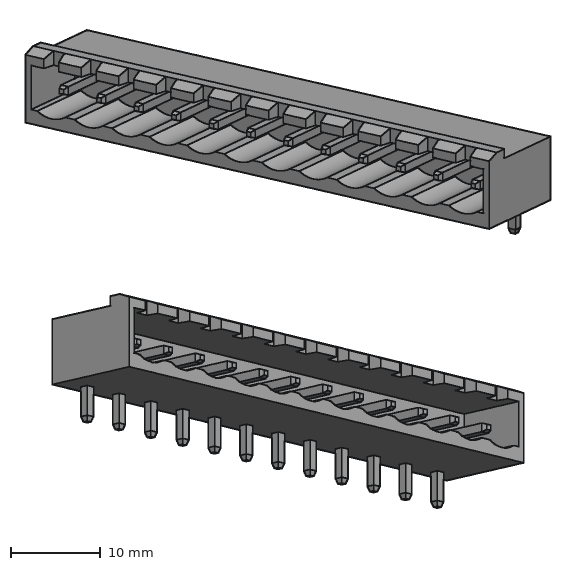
import cadquery as cq

PIN_COUNT = 12
PITCH = 5.08
END_MARGIN = 3.54
LENGTH = (PIN_COUNT - 1) * PITCH + 2 * END_MARGIN
DEPTH = 12.0
BODY_HEIGHT = 7.5

RIDGE_HEIGHT = 8.6
RIDGE_DEPTH = 3.0
BEVEL_DEPTH = 1.5
BEVEL_DROP = 0.6

SIDE_WALL = 0.8
CAVITY_FLOOR = 1.7
CAVITY_ROOF = 6.9
CAVITY_DEPTH = 8.5

TROUGH_WIDTH = 3.8
TROUGH_BOTTOM = 1.15

SLOT_FRONT_WIDTH = 2.0
SLOT_BACK_WIDTH = 1.5

PIN_SIZE = 1.0
PIN_AXIS_Z = 3.8
TAIL_SETBACK = 2.0
PIN_AXIS_Y = DEPTH - TAIL_SETBACK
PIN_FRONT_Y = 2.0
TAIL_LENGTH = 4.0
TIP_LENGTH = 0.6
TIP_SIZE = 0.6

PIN_POSITIONS = [(i - (PIN_COUNT - 1) / 2) * PITCH for i in range(PIN_COUNT)]


def make_housing():
    """Solid housing: the side profile, with its ridge, run along the row."""
    profile = [
        (0, 0),
        (DEPTH, 0),
        (DEPTH, BODY_HEIGHT),
        (RIDGE_DEPTH, BODY_HEIGHT),
        (RIDGE_DEPTH, RIDGE_HEIGHT),
        (BEVEL_DEPTH, RIDGE_HEIGHT),
        (0, RIDGE_HEIGHT - BEVEL_DROP),
    ]
    return cq.Workplane("YZ").polyline(profile).close().extrude(LENGTH / 2, both=True)


def make_cavity():
    """Mating cavity, with one trough per pin along its floor."""
    half_width = LENGTH / 2 - SIDE_WALL
    outline = cq.Workplane("XZ").moveTo(-half_width, CAVITY_ROOF).lineTo(-half_width, CAVITY_FLOOR)
    for x in PIN_POSITIONS:
        outline = outline.lineTo(x - TROUGH_WIDTH / 2, CAVITY_FLOOR)
        outline = outline.threePointArc((x, TROUGH_BOTTOM), (x + TROUGH_WIDTH / 2, CAVITY_FLOOR))
    outline = outline.lineTo(half_width, CAVITY_FLOOR).lineTo(half_width, CAVITY_ROOF).close()
    return outline.extrude(-CAVITY_DEPTH)


def make_slot(x):
    """Keying slot through the roof, wider at the open front."""
    plan = [
        (x - SLOT_FRONT_WIDTH / 2, 0),
        (x + SLOT_FRONT_WIDTH / 2, 0),
        (x + SLOT_BACK_WIDTH / 2, BEVEL_DEPTH),
        (x - SLOT_BACK_WIDTH / 2, BEVEL_DEPTH),
    ]
    slot = cq.Workplane("XY").workplane(offset=PIN_AXIS_Z).polyline(plan).close()
    return slot.extrude(RIDGE_HEIGHT - PIN_AXIS_Z)


def make_leg(plane, length):
    """Square bar from the plane's origin along its normal, with a tapered far tip."""
    shank_length = length - TIP_LENGTH
    shank = cq.Workplane(plane).rect(PIN_SIZE, PIN_SIZE).extrude(shank_length)
    tip = cq.Workplane(plane).workplane(offset=shank_length).rect(PIN_SIZE, PIN_SIZE)
    tip = tip.workplane(offset=TIP_LENGTH).rect(TIP_SIZE, TIP_SIZE).loft(ruled=True)
    return shank.union(tip)


def make_pin(x):
    """Pin with a contact leg toward the front and a solder tail downward."""
    bend = (x, PIN_AXIS_Y, PIN_AXIS_Z)
    contact = make_leg(cq.Plane(bend, (1, 0, 0), (0, -1, 0)), PIN_AXIS_Y - PIN_FRONT_Y)
    tail = make_leg(cq.Plane(bend, (1, 0, 0), (0, 0, -1)), PIN_AXIS_Z + TAIL_LENGTH)
    return contact.union(tail)


result = make_housing().cut(make_cavity())
for pin_x in PIN_POSITIONS:
    result = result.cut(make_slot(pin_x)).union(make_pin(pin_x))